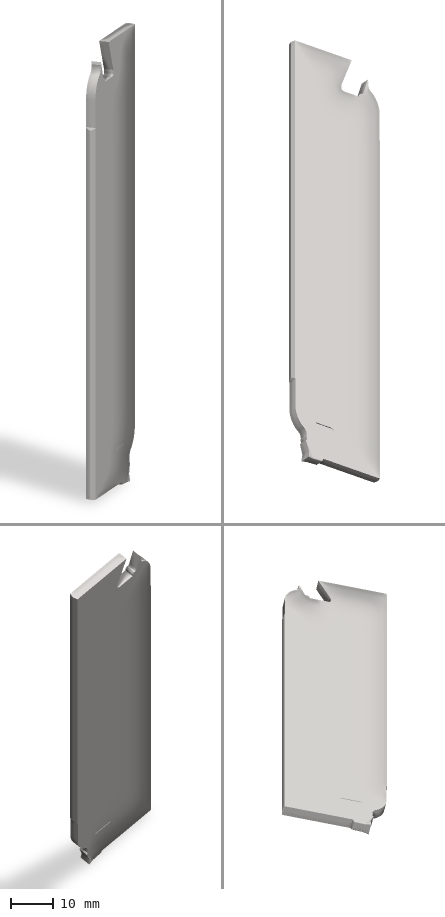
import cadquery as cq
import math

blade_thickness = 2.4
blade_length = 110.0
blade_half_length = blade_length / 2
blade_half_width = 12.67
edge_angle = 15.0
edge_depth = blade_thickness / 2 * math.tan(math.radians(edge_angle))

relief_half_width = 12.25
relief_end = 36.1
ridge_start = 35.4

cut_margin = 1.0

pocket_floor = 45.9
jaw_angle = 21.5
jaw_slope = math.tan(math.radians(jaw_angle))
jaw_mouth = -4.15
pocket_back = -1.15
pocket_corner_radius = 0.6
jaw_foot = blade_half_length - (pocket_back - jaw_mouth) / jaw_slope
floor_front = -6.2
step_height = 46.9
step_corner = (-6.35, 46.5)
step_front = -6.75
step_back = -7.2
seat_start = (-7.5, 47.3)
lip_tip = (-8.8, 51.3)
lip_shoulder = (-9.0, 50.6)

hollow_end = (-10.0, 48.2)
hollow_mid = (-9.55, 48.55)
nose_end = (-relief_half_width, 43.2)
nose_drop = hollow_end[1] - nose_end[1]
nose_run = hollow_end[0] - nose_end[0]
nose_radius = (nose_run**2 + nose_drop**2) / (2 * nose_run)
nose_half_angle = math.asin(nose_drop / nose_radius) / 2
nose_mid = (
    nose_end[0] + nose_radius * (1 - math.cos(nose_half_angle)),
    nose_end[1] + nose_radius * math.sin(nose_half_angle),
)

floor_gap = 0.2
cutting_width = 3.064
corner_radius = 0.25
tip_overhang = 1.0
heel_overhang = 0.75
rake_top = (-9.2, 51.6)
rake_waist = (-8.4, 54.2)
cutting_tip = (-8.55, blade_half_length + tip_overhang)
heel_height = blade_half_length + heel_overhang
head_heel_y = -7.0


def jaw_y(z):
    """Y of the jaw line at height z."""
    return jaw_mouth + (blade_half_length - z) * jaw_slope


def at_other_end(body):
    """Half turn about X, from the +Z end of the blade to the -Z end."""
    return body.rotate((0, 0, 0), (1, 0, 0), 180)


def slab(outline, thickness):
    """Extrude a closed YZ outline evenly to both sides of the mid-plane."""
    return outline.extrude(thickness / 2, both=True)


def pocket_wall(outline, floor):
    """Continue an outline from the jaw foot round the pocket to the lip tip."""
    return (
        outline.lineTo(pocket_back, floor + pocket_corner_radius)
        .radiusArc((pocket_back - pocket_corner_radius, floor), pocket_corner_radius)
        .lineTo(floor_front, floor)
        .lineTo(*step_corner)
        .lineTo(step_front, step_height)
        .lineTo(step_back, step_height)
        .lineTo(*seat_start)
        .lineTo(*lip_tip)
    )


def build_bar():
    """Full bar with a V along both long edges."""
    flank_root = blade_half_width - edge_depth
    half_thickness = blade_thickness / 2
    section = [
        (-half_thickness, -flank_root),
        (0, -blade_half_width),
        (half_thickness, -flank_root),
        (half_thickness, flank_root),
        (0, blade_half_width),
        (-half_thickness, flank_root),
    ]
    return (
        cq.Workplane("XY")
        .workplane(offset=-blade_half_length)
        .polyline(section)
        .close()
        .extrude(blade_length)
    )


def build_end_cut():
    """Everything removed at the +Z end: pocket, lip outside, nose and relieved flat."""
    outside = -blade_half_width - cut_margin
    above = blade_half_length + cut_margin
    outline = cq.Workplane("YZ").moveTo(jaw_y(above), above).lineTo(pocket_back, jaw_foot)
    outline = (
        pocket_wall(outline, pocket_floor)
        .lineTo(*lip_shoulder)
        .threePointArc(hollow_mid, hollow_end)
        .threePointArc(nose_mid, nose_end)
        .lineTo(-relief_half_width, relief_end)
        .lineTo(-blade_half_width, ridge_start)
        .lineTo(outside, ridge_start)
        .lineTo(outside, above)
        .close()
    )
    return slab(outline, blade_thickness + 2 * cut_margin)


def build_insert_body(heel):
    """Flat part of the insert, as thick as the blade."""
    outline = cq.Workplane("YZ").moveTo(*heel).lineTo(pocket_back, jaw_foot)
    outline = pocket_wall(outline, pocket_floor + floor_gap)
    outline = outline.lineTo(*rake_top).lineTo(*rake_waist).lineTo(*cutting_tip).close()
    return slab(outline, blade_thickness)


def build_insert_head(head_heel):
    """Corner of the insert, flaring from blade thickness to full width at the cutting tip."""
    outline = (
        cq.Workplane("YZ")
        .moveTo(*rake_top)
        .lineTo(*rake_waist)
        .lineTo(*cutting_tip)
        .lineTo(*head_heel)
        .close()
    )
    line_y = head_heel[0] - rake_top[0]
    line_z = head_heel[1] - rake_top[1]
    line_length = math.hypot(line_y, line_z)
    tip_y = cutting_tip[0] - rake_top[0]
    tip_z = cutting_tip[1] - rake_top[1]
    tip_distance = (line_z * tip_y - line_y * tip_z) / line_length
    flare = (
        cq.Workplane(cq.Plane((0, *rake_top), (1, 0, 0), (0, line_y, line_z)))
        .polyline([
            (-blade_thickness / 2, 0),
            (blade_thickness / 2, 0),
            (cutting_width / 2, tip_distance),
            (-cutting_width / 2, tip_distance),
        ])
        .close()
        .extrude(line_length, both=True)
    )
    return slab(outline, cutting_width).intersect(flare)


def build_insert():
    """Insert seated in the +Z pocket, with its front face rounded along both sides."""
    heel = (jaw_y(heel_height), heel_height)
    front_slope = (cutting_tip[1] - heel[1]) / (cutting_tip[0] - heel[0])
    head_heel = (head_heel_y, heel[1] + front_slope * (head_heel_y - heel[0]))
    insert = build_insert_body(heel).union(build_insert_head(head_heel)).clean()
    return insert.faces(">Z").edges("not |X").fillet(corner_radius)


end_cut = build_end_cut()
blade = build_bar().cut(end_cut).cut(at_other_end(end_cut))
insert = at_other_end(build_insert())

result = cq.Compound.makeCompound([blade.val(), insert.val()])